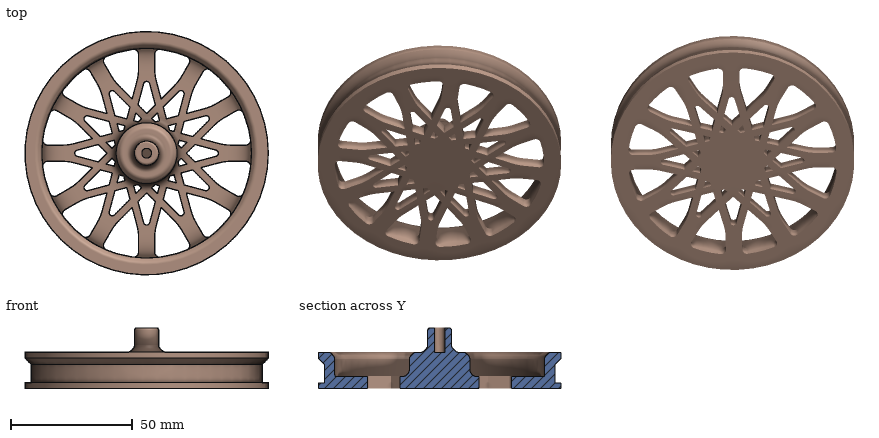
import cadquery as cq
import math

rim_radius = 50.0
rim_height = 15.0
rim_bore_radius = 43.0
groove_radius = 47.5
flange_thickness = 2.5
groove_cone_height = rim_radius - groove_radius

chamfer_size = 2.0
chamfer_blend_radius = 2.0

hub_radius = 12.5
hub_height = rim_height
hub_foot_radius = 3.0
stub_radius = 5.0
stub_top = 25.0
stub_edge_radius = 1.0
stub_hole_radius = 2.0
stub_hole_depth = 10.0

plate_thickness = 5.0
spoke_count = 12
spoke_width = 6.7
strut_width = 3.0
strut_offset = 10.05
strut_tilt = 15.0
window_outer_radius = rim_bore_radius
window_corner_radius = 2.0
kite_tip_radius = 1.25
spoke_bend_radius = 20.0

spoke_pitch = 360.0 / spoke_count
half_pitch = spoke_pitch / 2
strut_inner = strut_offset - strut_width / 2
strut_outer = strut_offset + strut_width / 2
strut_normal = 90.0 - strut_tilt


def crossing(line_a, line_b):
    """Meeting point of two lines, each given as (distance from origin, angle of its normal)."""
    distance_a, angle_a = line_a[0], math.radians(line_a[1])
    distance_b, angle_b = line_b[0], math.radians(line_b[1])
    spread = math.sin(angle_b - angle_a)
    x = (distance_a * math.sin(angle_b) - distance_b * math.sin(angle_a)) / spread
    y = (distance_b * math.cos(angle_a) - distance_a * math.cos(angle_b)) / spread
    return (x, y)


def mirrored(point):
    return (point[0], -point[1])


def prism(points, height):
    return cq.Workplane("XY").polyline(points).close().extrude(height)


def round_upright_edges(body, points, radius):
    """Round the vertical edges of a plate-thick body that stand at the given points."""
    for x, y in points:
        nearest = cq.selectors.NearestToPointSelector((x, y, plate_thickness / 2))
        body = body.edges("|Z").edges(nearest).fillet(radius)
    return body


def profile_ring(points):
    """Solid of revolution about Z from a closed outline of (radius, height) points."""
    return cq.Workplane("XZ").polyline(points).close().revolve(360, (0, 0), (0, 1))


def round_circles(body, circles, blend_radius):
    """Round the circular edges given as (radius, height) pairs."""

    def wanted(edge):
        return any(
            math.isclose(edge.radius(), radius, abs_tol=1e-4)
            and math.isclose(edge.Center().z, height, abs_tol=1e-4)
            for radius, height in circles
        )

    return body.newObject([e for e in body.edges("%CIRCLE").vals() if wanted(e)]).fillet(blend_radius)


def make_rim():
    bore_chamfer = [
        (rim_bore_radius + chamfer_size, rim_height),
        (rim_bore_radius, rim_height - chamfer_size),
    ]
    upper_flange_bottom = rim_height - flange_thickness
    rim = profile_ring(
        [
            (rim_bore_radius, 0),
            (rim_radius, 0),
            (rim_radius, flange_thickness),
            (groove_radius, flange_thickness),
            (groove_radius, upper_flange_bottom - groove_cone_height),
            (rim_radius, upper_flange_bottom),
            (rim_radius, rim_height),
        ]
        + bore_chamfer
    )
    return round_circles(rim, bore_chamfer, chamfer_blend_radius)


def make_plate_and_hub():
    """Solid spoke plate with the hub and the axle stub, before the windows are cut."""
    hub_chamfer = [
        (hub_radius, hub_height - chamfer_size),
        (hub_radius - chamfer_size, hub_height),
    ]
    stub_foot = [
        (stub_radius + chamfer_size, hub_height),
        (stub_radius, hub_height + chamfer_size),
    ]
    body = profile_ring(
        [
            (0, 0),
            (rim_bore_radius, 0),
            (rim_bore_radius, plate_thickness),
            (hub_radius, plate_thickness),
        ]
        + hub_chamfer
        + stub_foot
        + [(stub_radius, stub_top), (0, stub_top)]
    )
    body = round_circles(body, hub_chamfer + stub_foot, chamfer_blend_radius)
    body = round_circles(body, [(hub_radius, plate_thickness)], hub_foot_radius)
    return round_circles(body, [(stub_radius, stub_top)], stub_edge_radius)


def make_kite_window():
    """Window inside the fork of the spoke that lies along +X."""
    near_strut = (strut_inner, strut_normal)
    tip = crossing(near_strut, (strut_inner, -strut_normal))
    side = crossing(near_strut, (strut_outer, spoke_pitch - strut_normal))
    root = crossing(
        (strut_outer, spoke_pitch - strut_normal),
        (strut_outer, strut_normal - spoke_pitch),
    )
    window = prism([tip, side, root, mirrored(side)], plate_thickness)
    return round_upright_edges(window, [tip], kite_tip_radius)


def make_hub_window():
    """Small window through the rounded foot of the hub, centred on +X between two spokes."""
    outer_normal = strut_normal - half_pitch
    inner_normal = outer_normal - spoke_pitch
    tip = crossing((strut_inner, outer_normal), (strut_inner, -outer_normal))
    side = crossing((strut_inner, outer_normal), (strut_outer, -inner_normal))
    root = crossing((strut_outer, inner_normal), (strut_outer, -inner_normal))
    return prism([tip, side, root, mirrored(side)], plate_thickness + hub_foot_radius)


def make_rim_window():
    """Large window next to the rim, centred on +X between two spokes."""
    strut_edge = (strut_outer, half_pitch - strut_normal)
    spoke_edge_normal = half_pitch - 90.0
    spoke_edge = (spoke_width / 2, spoke_edge_normal)
    root = crossing(strut_edge, (strut_outer, -strut_edge[1]))
    bend = crossing(strut_edge, spoke_edge)

    corner_angle = math.radians(half_pitch) - math.asin(spoke_width / 2 / window_outer_radius)
    corner = (
        window_outer_radius * math.cos(corner_angle),
        window_outer_radius * math.sin(corner_angle),
    )
    window = (
        cq.Workplane("XY")
        .moveTo(*root)
        .lineTo(*bend)
        .lineTo(*corner)
        .threePointArc((window_outer_radius, 0), mirrored(corner))
        .lineTo(*mirrored(bend))
        .close()
        .extrude(plate_thickness)
    )
    window = round_upright_edges(window, [bend, mirrored(bend)], spoke_bend_radius)
    return round_upright_edges(window, [corner, mirrored(corner)], window_corner_radius)


def around_wheel(window, first_angle):
    """Copies of a window at every spoke pitch, the first one turned to first_angle."""
    copies = cq.Workplane("XY")
    for index in range(spoke_count):
        angle = first_angle + index * spoke_pitch
        copies = copies.add(window.rotate((0, 0, 0), (0, 0, 1), angle))
    return copies.combine()


def make_stub_hole():
    return (
        cq.Workplane("XY", origin=(0, 0, stub_top - stub_hole_depth))
        .circle(stub_hole_radius)
        .extrude(stub_hole_depth)
    )


result = (
    make_plate_and_hub()
    .cut(around_wheel(make_kite_window(), 0))
    .cut(around_wheel(make_hub_window(), half_pitch))
    .cut(around_wheel(make_rim_window(), half_pitch))
    .cut(make_stub_hole())
    .union(make_rim())
)